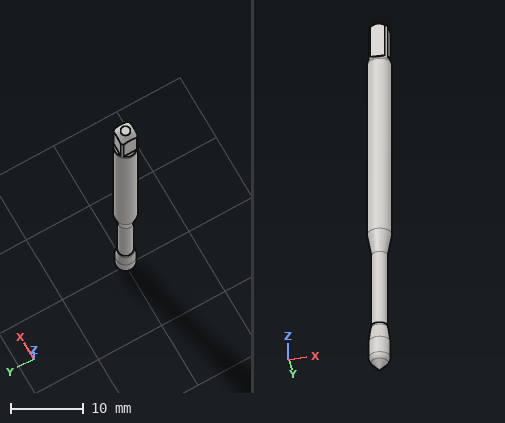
import cadquery as cq
import math

total_length = 56.95
shoulder_z = 50.35
flats_floor_z = 51.0
taper_top_z = 22.4
taper_bottom_z = 18.95
joint_z = 7.3
head_rim_z = 6.95
head_land_top_z = 4.75

shank_radius = 3.5 / 2
drive_radius = 3.35 / 2
drive_top_radius = 1.35 / 2
neck_radius = 2.3 / 2
head_radius = 3.1 / 2
head_rim_radius = 2.5 / 2

across_flats = 2.7
drive_cone_height = 1.0

tip_half_angle = math.radians(42)
tip_blend_radius = 1.25


def make_shank_blank():
    """Revolve the neck, taper, shank and round drive end."""
    runout_top_z = flats_floor_z - (drive_radius - across_flats / 2)
    return (
        cq.Workplane("XZ")
        .moveTo(0, joint_z)
        .lineTo(neck_radius, joint_z)
        .lineTo(neck_radius, taper_bottom_z)
        .lineTo(shank_radius, taper_top_z)
        .lineTo(shank_radius, shoulder_z)
        .lineTo(drive_radius, runout_top_z)
        .lineTo(drive_radius, total_length - drive_cone_height)
        .lineTo(drive_top_radius, total_length)
        .lineTo(0, total_length)
        .close()
        .revolve(360, (0, 0, 0), (0, 1, 0))
    )


def make_flat_cutter():
    """Cutter for one drive flat, with a 45 degree run-out at its lower end."""
    flat_x = across_flats / 2
    outer_x = 2 * shank_radius
    return (
        cq.Workplane("XZ")
        .moveTo(flat_x, flats_floor_z)
        .lineTo(outer_x, flats_floor_z - (outer_x - flat_x))
        .lineTo(outer_x, total_length)
        .lineTo(flat_x, total_length)
        .close()
        .extrude(shank_radius, both=True)
    )


def make_shank():
    """Shank with four flats forming the square drive."""
    shank = make_shank_blank()
    flat_count = 4
    for index in range(flat_count):
        angle = index * 360 / flat_count
        shank = shank.cut(make_flat_cutter().rotate((0, 0, 0), (0, 0, 1), angle))
    return shank


def make_head():
    """Pointed head with a tapered back."""
    arc_center_x = head_radius - tip_blend_radius
    cone_radius = arc_center_x + tip_blend_radius * math.cos(tip_half_angle)
    cone_height = cone_radius / math.tan(tip_half_angle)
    arc_center_z = cone_height + tip_blend_radius * math.sin(tip_half_angle)
    arc_middle = (
        arc_center_x + tip_blend_radius * math.cos(tip_half_angle / 2),
        arc_center_z - tip_blend_radius * math.sin(tip_half_angle / 2),
    )
    return (
        cq.Workplane("XZ")
        .moveTo(0, 0)
        .lineTo(cone_radius, cone_height)
        .threePointArc(arc_middle, (head_radius, arc_center_z))
        .lineTo(head_radius, head_land_top_z)
        .lineTo(head_rim_radius, head_rim_z)
        .lineTo(neck_radius, joint_z)
        .lineTo(0, joint_z)
        .close()
        .revolve(360, (0, 0, 0), (0, 1, 0))
    )


shank = make_shank()
head = make_head()

result = cq.Compound.makeCompound([shank.val(), head.val()])